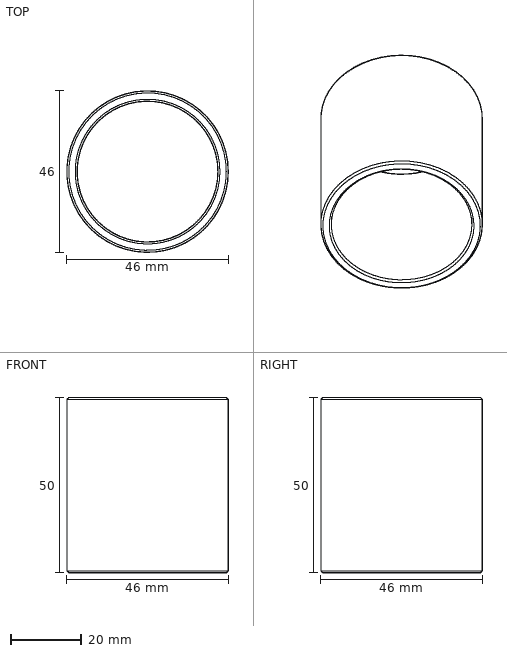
import cadquery as cq

length = 50.0
outer_diameter = 46.0
bore_diameter = 40.0
edge_chamfer = 0.6

sleeve = (
    cq.Workplane("XY")
    .circle(outer_diameter / 2)
    .circle(bore_diameter / 2)
    .extrude(length)
)

result = sleeve.faces("<Z or >Z").edges().chamfer(edge_chamfer)